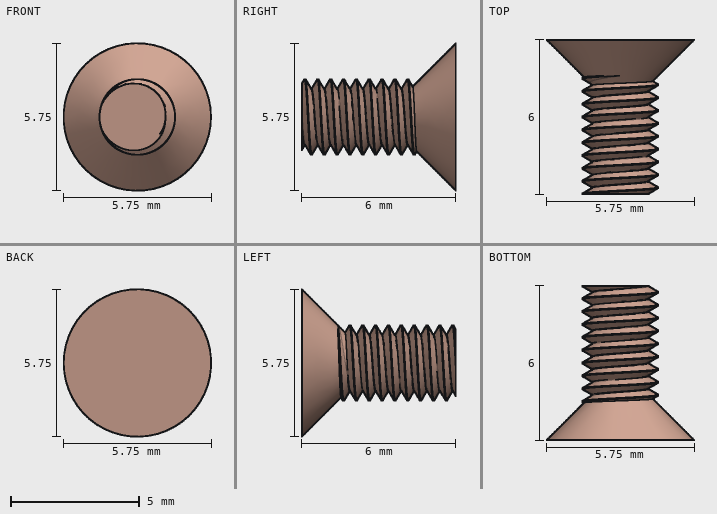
import cadquery as cq
import math

length = 6.0
head_diameter = 5.75
thread_diameter = 2.95
root_diameter = 2.2
crest_width = 0.04

pitches_in_length = 12
pitch = length / pitches_in_length
flank_half_angle = math.radians(30)

head_radius = head_diameter / 2
crest_radius = thread_diameter / 2
root_radius = root_diameter / 2
cone_height = head_radius

thread_overlap = 0.24
thread_length = length - (head_radius - crest_radius) + thread_overlap

spiral_steps = 12

crest_half_turn = math.pi * crest_width / pitch
flank_width = (crest_radius - root_radius) * math.tan(flank_half_angle)
root_start_turn = crest_half_turn + 2 * math.pi * flank_width / pitch


def polar_point(radius, angle):
    """Point in the slice, with the angle counted from the middle of the crest at -X."""
    return cq.Vector(-radius * math.cos(angle), -radius * math.sin(angle), 0)


def flank_point(fraction, side):
    """Point on a straight flank, which becomes a spiral from crest (0) to root (1)."""
    radius = crest_radius + fraction * (root_radius - crest_radius)
    angle = crest_half_turn + fraction * (root_start_turn - crest_half_turn)
    return polar_point(radius, side * angle)


def flank_spiral(side):
    """Edge of the slice along one flank."""
    points = [flank_point(i / spiral_steps, side) for i in range(spiral_steps + 1)]
    return cq.Edge.makeSpline(points)


def make_thread():
    """Right-handed threaded shank, made by twisting its slice along Z."""
    crest_middle = polar_point(crest_radius, 0)
    root_middle = polar_point(root_radius, math.pi)
    crest_arc = cq.Edge.makeThreePointArc(flank_point(0, -1), crest_middle, flank_point(0, 1))
    root_arc = cq.Edge.makeThreePointArc(flank_point(1, 1), root_middle, flank_point(1, -1))
    outline = cq.Wire.assembleEdges([crest_arc, flank_spiral(1), root_arc, flank_spiral(-1)])
    axis_start = cq.Vector(0, 0, 0)
    axis = cq.Vector(0, 0, thread_length)
    twist = 360 * thread_length / pitch
    shank = cq.Solid.extrudeLinearWithRotation(outline, [], axis_start, axis, twist)
    return cq.Workplane(obj=shank)


def make_head():
    """Conical head, widest at the full screw length."""
    return (
        cq.Workplane("XZ")
        .moveTo(0, length - cone_height)
        .lineTo(head_radius, length)
        .lineTo(0, length)
        .close()
        .revolve(360, (0, 0), (0, 1))
    )


screw = make_thread().union(make_head())
result = screw.rotate((0, 0, 0), (1, 0, 0), -90)